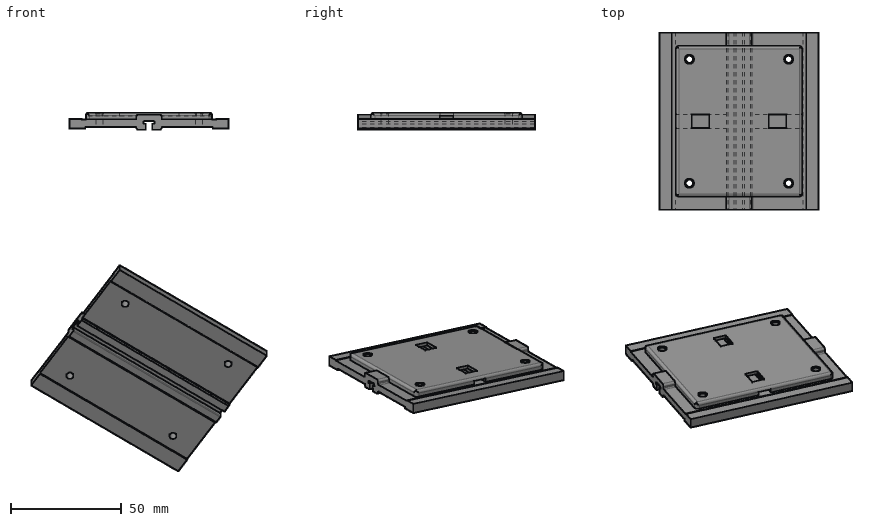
import cadquery as cq

width = 72.0
length = 80.0
total_height = 7.8
pad_bottom = 0.6
pad_top = 5.0
web_bottom = 1.3
web_top = 4.7
top_pad_inner = 30.5
bottom_pad_inner = 28.7

rail_half_width = 5.8
rail_top = 7.0
rail_top_radius = 1.0
rail_bottom_chamfer = 0.7
rail_root_radius = 0.5

slot_half_width = 1.4
slot_head_half_width = 2.5
slot_ledge = 2.9
slot_ceiling = 4.0
slot_head_radius = 0.6
slot_mouth_radius = 0.3

plate_width = 57.0
plate_length = 68.2
plate_corner_radius = 1.6
plate_edge_radius = 1.3

strap_width = 6.2
strap_ceiling = 6.3
window_length = 8.0
window_width = 6.0
window_x = 17.4

hole_x = 22.4
hole_y = 28.0
hole_diameter = 3.2
hole_chamfer = 0.5
chamfer_angle = 90


def block(x_size, y_size, z_low, z_high):
    """Box centred on the Z axis between two heights."""
    return (
        cq.Workplane("XY")
        .workplane(offset=z_low)
        .rect(x_size, y_size)
        .extrude(z_high - z_low)
    )


def lengthwise_edges(solid, half_width, z):
    """The two edges along Y at X = +-half_width and height z."""
    tolerance = 0.01

    def around(x):
        return cq.selectors.BoxSelector(
            (x - tolerance, -length, z - tolerance),
            (x + tolerance, length, z + tolerance),
        )

    return solid.edges("|Y").edges(around(-half_width) + around(half_width))


def make_base():
    base = block(width, length, pad_bottom, pad_top)
    base = base.cut(block(2 * top_pad_inner, length, web_top, pad_top))
    base = base.cut(block(2 * bottom_pad_inner, length, pad_bottom, web_bottom))
    base = base.union(block(2 * rail_half_width, length, 0, rail_top))
    base = base.cut(block(2 * slot_half_width, length, 0, slot_ledge))
    base = base.cut(block(2 * slot_head_half_width, length, slot_ledge, slot_ceiling))
    rounded_edges = (
        (rail_half_width, rail_top, rail_top_radius),
        (rail_half_width, web_top, rail_root_radius),
        (slot_head_half_width, slot_ceiling, slot_head_radius),
        (slot_half_width, 0, slot_mouth_radius),
    )
    for half_width, z, radius in rounded_edges:
        base = lengthwise_edges(base, half_width, z).fillet(radius)
    return lengthwise_edges(base, rail_half_width, 0).chamfer(rail_bottom_chamfer)


def make_plate():
    plate = block(plate_width, plate_length, web_top, total_height)
    rounded_outline = plate.edges("|Z").fillet(plate_corner_radius)
    plate = plate.faces(">Z").edges().fillet(plate_edge_radius).intersect(rounded_outline)
    plate = plate.cut(block(plate_width, strap_width, web_top, strap_ceiling))
    window = block(window_length, window_width, web_top, total_height)
    for side in (-1, 1):
        plate = plate.cut(window.translate((side * window_x, 0, 0)))
    return plate


def drill_corner_holes(solid):
    return (
        solid.faces(">Z")
        .workplane(origin=(0, 0, total_height))
        .rect(2 * hole_x, 2 * hole_y, forConstruction=True)
        .vertices()
        .cskHole(hole_diameter, hole_diameter + 2 * hole_chamfer, chamfer_angle)
    )


result = drill_corner_holes(make_base().union(make_plate()))